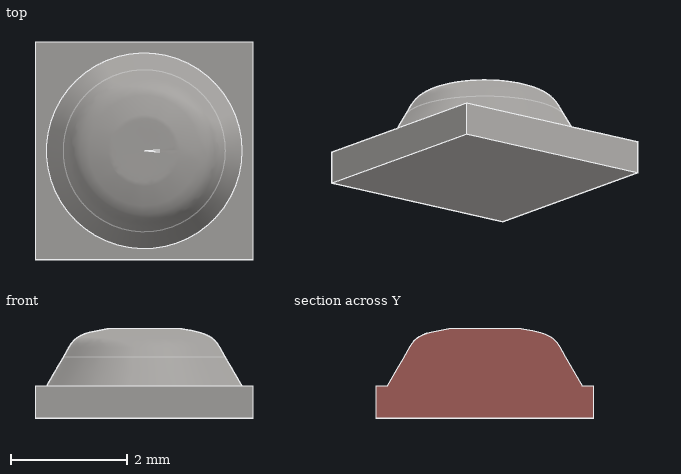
import cadquery as cq

plate_side = 3.75
plate_height = 0.56

total_height = 1.55
foot_radius = 1.685
skirt_top_radius = 1.395
skirt_top_z = 1.055

shoulder_radius = 1.165
shoulder_z = 1.385
crown_radius = 0.75
crown_z = 1.525


def base_plate():
    """Square plate standing on the XY plane."""
    return cq.Workplane("XY").rect(plate_side, plate_side).extrude(plate_height)


def lens():
    """Revolved lens whose dome leaves the skirt smoothly and is level at the apex."""
    skirt_direction = (skirt_top_radius - foot_radius, skirt_top_z - plate_height)
    level_direction = (-1, 0)
    return (
        cq.Workplane("XZ")
        .moveTo(0, plate_height)
        .lineTo(foot_radius, plate_height)
        .lineTo(skirt_top_radius, skirt_top_z)
        .spline(
            [(shoulder_radius, shoulder_z), (crown_radius, crown_z), (0, total_height)],
            tangents=[skirt_direction, level_direction],
            includeCurrent=True,
        )
        .close()
        .revolve(360, (0, 0, 0), (0, 1, 0))
    )


result = base_plate().union(lens())